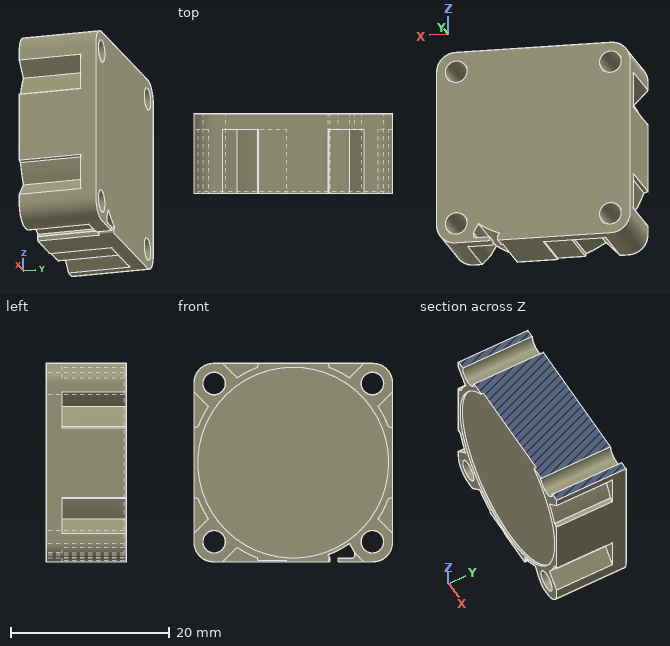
import cadquery as cq
import math

side = 25.1
depth = 10.12
half = side / 2
corner_radius = 2.5

hole_offset = 10.0
hole_diameter = 2.8

recess_radius = 12.05
recess_depth = 0.3

flange_thickness = 2.0
pocket_depth = depth - flange_thickness
pocket_floor_radius = 12.85
pocket_mouth_near = 4.4
pocket_floor_near = 4.55
pocket_mouth_far = 8.94

exit_roof_radius = 12.45
exit_roof_near = 4.4
exit_roof_far = 7.1
exit_wall_x = 7.75
exit_wall_fillet = 0.38
lip_thickness = 0.5
gap_near = 4.65
gap_far = 5.65
lip_rounding = 0.13

bottom_recess_height = 0.18
bottom_recess_end = -0.85


def height_on_circle(radius, x):
    return math.sqrt(radius**2 - x**2)


def circle_midpoint(radius, start, end):
    """Point on a circle about the origin, halfway between two of its points."""
    angle = (math.atan2(start[1], start[0]) + math.atan2(end[1], end[0])) / 2
    return radius * math.cos(angle), radius * math.sin(angle)


def front_plane():
    """Workplane on the front face: local x is X, local y is Z, and extrusion by -d goes to Y = d."""
    return cq.Workplane("XZ")


def housing():
    block = front_plane().rect(side, side).extrude(-depth).edges("|Y").fillet(corner_radius)
    corners = front_plane().rect(2 * hole_offset, 2 * hole_offset, forConstruction=True).vertices()
    holes = corners.circle(hole_diameter / 2).extrude(-depth)
    recess = front_plane().circle(recess_radius).extrude(-recess_depth)
    return block.cut(holes).cut(recess)


def side_pocket():
    """Pocket in the top side, right of centre: a 45 degree far wall and a floor round the fan axis."""
    offset = pocket_mouth_far - half
    floor_far_x = (offset + math.sqrt(2 * pocket_floor_radius**2 - offset**2)) / 2
    floor_far = (floor_far_x, floor_far_x - offset)
    floor_near = (pocket_floor_near, height_on_circle(pocket_floor_radius, pocket_floor_near))
    floor_middle = circle_midpoint(pocket_floor_radius, floor_near, floor_far)
    return (
        front_plane()
        .moveTo(pocket_mouth_near, half)
        .lineTo(*floor_near)
        .threePointArc(floor_middle, floor_far)
        .lineTo(pocket_mouth_far, half)
        .close()
        .extrude(-pocket_depth)
    )


def cut_side_pockets(body):
    right_pocket = side_pocket()
    pair = right_pocket.union(right_pocket.mirror("YZ"))
    for turn in range(4):
        body = body.cut(pair.rotate((0, 0, 0), (0, 1, 0), 90 * turn))
    return body


def wire_exit():
    """Opening through the full depth, leaving a lip along the bottom side and a gap beside it."""
    roof_near = (exit_roof_near, -height_on_circle(exit_roof_radius, exit_roof_near))
    roof_far = (exit_roof_far, -height_on_circle(exit_roof_radius, exit_roof_far))
    roof_middle = circle_midpoint(exit_roof_radius, roof_near, roof_far)
    lip_top = lip_thickness - half
    wall_top = pocket_mouth_far - exit_wall_x - half
    return (
        front_plane()
        .moveTo(gap_near, -half)
        .lineTo(gap_near, lip_top)
        .lineTo(*roof_near)
        .threePointArc(roof_middle, roof_far)
        .lineTo(exit_wall_x, wall_top)
        .lineTo(exit_wall_x, lip_top + exit_wall_fillet)
        .radiusArc((exit_wall_x - exit_wall_fillet, lip_top), exit_wall_fillet)
        .lineTo(gap_far, lip_top)
        .lineTo(gap_far, -half)
        .close()
        .extrude(-depth)
    )


def round_gap_edges(body):
    """Round the two bottom edges of the flange beside the gap."""
    for x in (gap_near, gap_far):
        edge = cq.selectors.NearestToPointSelector((x, depth - flange_thickness / 2, -half))
        body = body.edges(edge).fillet(lip_rounding)
    return body


def bottom_recess():
    """Shallow step as deep in Y as the pockets, from the left pocket almost to the centre."""
    return (
        front_plane()
        .moveTo(-pocket_mouth_far, -half)
        .lineTo(bottom_recess_end, -half)
        .lineTo(bottom_recess_end, bottom_recess_height - half)
        .lineTo(bottom_recess_height - pocket_mouth_far, bottom_recess_height - half)
        .close()
        .extrude(-pocket_depth)
    )


result = cut_side_pockets(housing())
result = round_gap_edges(result.cut(wire_exit()))
result = result.cut(bottom_recess())